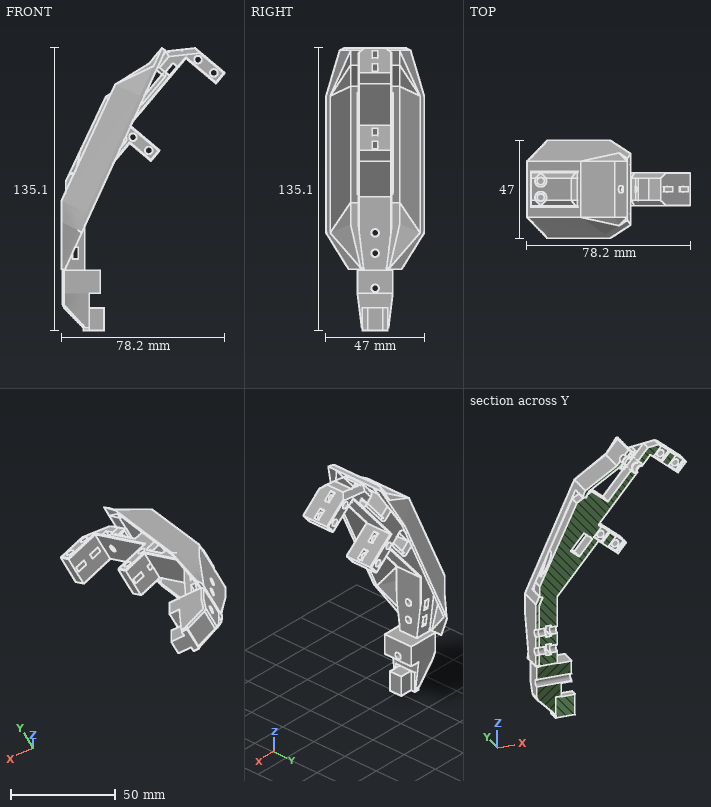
import cadquery as cq
import math


SCREW_DIAMETER = 3.5
NUT_WIDTH = 5.5
NUT_THICKNESS = 2.5
WALL = 2.0
LOW_SCREW_HEIGHTS = (46.8, 37.0)

COVER_BOTTOM = 29.3
COVER_TOP = 135.1
BASE_SLOPE = 2.18
BASE_FOOT = 25.5
RIM_FOOT = 30.4
COVER_HALF_WIDTH = 23.5
RIM_HALF_WIDTH = 21.6
RIM_TOE_HALF_WIDTH = 10.3
CREST_HALF_WIDTH = 13.4
CREST_TOE_HALF_WIDTH = 8.5
CREST_DROP = 1.0
SIDE_INSET = 1.6
CAVITY_END_GAP = 0.1

WINDOW_HALF_WIDTH = 8.5
WINDOW_BOTTOM = 66.1
WINDOW_TOP = 114.5

BAR_ANGLE = 50.0
FRAME_HALF_WIDTH = 8.0
FRAME_BEVEL = 2.7
EDGE_BEVEL = 0.4
FRAME_BOTTOM = 28.9
FRAME_REAR = 11.2
ARM_THICKNESS = 6.6
UPPER_ARM_TOP = 144.6
LOWER_ARM_TOP = 96.2
ARM_END = -19.3
LOWER_BAR_REAR = -32.5
BAR_REAR = -38.1
BAR_FRONT = -47.5
LIP_REAR = -46.2
BAR_TOP = 134.5
BLOCK_CORNER_HEIGHT = 71.3
BLOCK_SHOULDER = (21.2, 111.9)
BAR_CORNER = 123.9
TOE_REAR_HEIGHT = 64.0
ARM_HOLES = (-33.2, -23.4)
ARM_HOLE_DEPTH = 3.4
BAR_SCREW = 129.5
PLATE_THICKNESS = 3.8
UPPER_NOTCH = (108.1, 124.6)
LOWER_NOTCH = (78.4, 88.9)
UPPER_NOTCH_FRONT = -60.8
LOWER_NOTCH_FRONT = -41.9
BAR_NUT_FRONT = -41.3
TOE_NUT_FRONT = 5.4
NOTCH_FLARE = 1.9
TAPER_TOP = 50.0
TOE_HALF_WIDTH = 5.4

POCKET_DIAMETER = 5.5
POCKET_X = 6.6
POCKET_HALF_SPACING = 3.9
POCKET_SEAT = 74.9
POCKET_HOLE_DEPTH = 6.8

CLIP_FRONT = 0.47
CLIP_REAR = 18.6
CLIP_TOP = FRAME_BOTTOM
CLIP_STEP = 17.8
CLIP_HALF_WIDTH = 8.5
CLIP_BEVEL = 1.0
CLIP_SCREW_HEIGHT = 20.3
KNEE_TOP = 12.5
KNEE_BOTTOM = 10.8
KNEE_HALF_WIDTH = 6.4
SLOPE_HALF_WIDTH = 5.4
WEDGE_BOTTOM = 1.5
WEDGE_TIP_HALF_WIDTH = 6.5

FOOT_FRONT = 10.4
FOOT_STEP = 13.4
FOOT_REAR = 20.4
FOOT_HEIGHT = 11.0
FOOT_PLATE_HALF_WIDTH = 6.1
FOOT_BLOCK_HALF_WIDTH = 3.6


def box(x_range, y_half, z_range):
    """Box that is symmetric about Y = 0."""
    size = (x_range[1] - x_range[0], 2 * y_half, z_range[1] - z_range[0])
    return cq.Workplane("XY").box(*size, centered=(False, True, False)).translate((x_range[0], 0, z_range[0]))


def mirrored(point):
    return (point[0], -point[1], point[2])


def across(points):
    """Outline that runs along points at +Y and back along their mirror images."""
    return points + [mirrored(point) for point in reversed(points)]


def flat_face(points):
    return cq.Face.makeFromWires(cq.Wire.makePolygon([cq.Vector(*p) for p in points], close=True))


def twisted_face(points):
    """Ruled face from the edge between the first two points to the edge between the last two."""
    start, end, far_end, far_start = [cq.Vector(*p) for p in points]
    return cq.Face.makeRuledSurface(cq.Edge.makeLine(start, end), cq.Edge.makeLine(far_start, far_end))


def both_sides(outlines):
    return outlines + [[mirrored(p) for p in outline] for outline in outlines]


def faceted_solid(side_faces, crossing_faces, twisted_sides=()):
    """Solid bounded by flat or twisted side faces, given for +Y only, and faces that cross Y = 0."""
    faces = [flat_face(outline) for outline in crossing_faces + both_sides(side_faces)]
    faces += [twisted_face(outline) for outline in both_sides(list(twisted_sides))]
    return cq.Workplane(cq.Solid.makeSolid(cq.Shell.makeShell(faces)).fix())


def bar_point(along, outward):
    """X and Z of a point given along the tilted bar and square to it."""
    angle = math.radians(BAR_ANGLE)
    x = along * math.cos(angle) + outward * math.sin(angle)
    z = along * math.sin(angle) - outward * math.cos(angle)
    return (x, z)


def slab(outline, half_width):
    """Outline in X and Z, extruded equally to both sides of Y = 0."""
    return cq.Workplane("XZ").polyline(outline).close().extrude(half_width, both=True)


def bar_rectangle(along_range, outward_range):
    """Corners of a rectangle lined up with the tilted bar."""
    low, high = along_range
    front, rear = outward_range
    return [bar_point(low, front), bar_point(high, front), bar_point(high, rear), bar_point(low, rear)]


def bar_block(along_range, outward_range, half_width):
    """Block lined up with the tilted bar."""
    return slab(bar_rectangle(along_range, outward_range), half_width)


def bar_screw_hole(outward_range):
    """Screw hole square to the tilted bar."""
    x, z = bar_point(BAR_SCREW, outward_range[0])
    angle = math.radians(BAR_ANGLE)
    axis = cq.Vector(math.sin(angle), 0, -math.cos(angle))
    length = outward_range[1] - outward_range[0]
    return cq.Workplane(cq.Solid.makeCylinder(SCREW_DIAMETER / 2, length, cq.Vector(x, 0, z), axis))


def front_screw_hole(height):
    """Screw hole along X through everything at the given height."""
    return cq.Workplane("YZ").center(0, height).circle(SCREW_DIAMETER / 2).extrude(CLIP_REAR)


CREST_PROFILE = [(0, 51.9), (0, 62.2), (25.7, 117.7), (42.0, 127.8),
                 ((COVER_TOP - RIM_FOOT) / BASE_SLOPE, COVER_TOP)]
RIM_STATIONS = [(48.0, RIM_HALF_WIDTH), (56.3, RIM_HALF_WIDTH), (64.0, RIM_HALF_WIDTH),
                (112.3, RIM_HALF_WIDTH)]
RIM_SHOULDER = 126.5
BASE_STATIONS = [(COVER_BOTTOM, 12.7), (46.8, COVER_HALF_WIDTH), (112.2, COVER_HALF_WIDTH), (133.9, 17.0)]


def on_base(z, y):
    return ((z - BASE_FOOT) / BASE_SLOPE, y, z)


def on_rim(z, y):
    return ((z - RIM_FOOT) / BASE_SLOPE, y, z)


def rim_taper(z):
    """Half width of the rim line above its last full-width station, parallel to the base outline."""
    (z0, y0), (z1, y1) = BASE_STATIONS[2:]
    top_station = RIM_STATIONS[-1][0]
    return RIM_HALF_WIDTH + (z - top_station) * (y1 - y0) / (z1 - z0)


def cover_form():
    """Outer shape of the cover: crest points c, rim points r and base outline points b."""
    toe = (0, CREST_TOE_HALF_WIDTH, COVER_BOTTOM)
    c1, c2, c3, c4, c5 = [(x, CREST_HALF_WIDTH, z) for x, z in CREST_PROFILE]
    r1, r2, r3, r4 = [on_rim(z, y) for z, y in RIM_STATIONS]
    r5 = on_rim(RIM_SHOULDER, rim_taper(RIM_SHOULDER))
    r0 = (0, RIM_TOE_HALF_WIDTH, COVER_BOTTOM)
    r6 = on_rim(COVER_TOP, rim_taper(COVER_TOP))
    b0, b1, b2, b3 = [on_base(z, y) for z, y in BASE_STATIONS]
    flanks = [
        [c2, r3, r2], [c2, r4, r3],
        [c2, c3, r4], [c3, r5, r4], [c3, c4, r5],
        [c4, c5, r5], [c5, r6, r5],
    ]
    twisted = [[toe, c1, r1, r0], [c1, c2, r2, r1], [r0, r1, b1, b0]]
    rim = [[r1, r2, r3, r4, b1], [r4, b2, b1],
           [r4, r5, r6, b3, b2]]
    crest = [across([toe, c1, c2]), across([c2, c3]), across([c3, c4]), across([c4, c5])]
    ends = [across([toe, r0, b0]), across([c5, r6, b3])]
    return faceted_solid(flanks + rim, crest + ends + [across([b0, b1, b2, b3])], twisted)


def cover_cavity():
    """Hollow that opens through the rear plane and fades out at both ends."""
    half = CREST_HALF_WIDTH - SIDE_INSET
    shifted = [(x + WALL, half, z - CREST_DROP) for x, z in CREST_PROFILE[:-1]]
    p1, p2, p3, p4 = shifted
    p0 = on_base(BASE_FOOT + BASE_SLOPE * WALL, CREST_TOE_HALF_WIDTH - SIDE_INSET)
    p5 = on_base(BASE_STATIONS[-1][0] - CAVITY_END_GAP, half)
    q1, q2 = [on_base(z, y - WALL) for z, y in BASE_STATIONS[1:3]]
    flanks = [[p0, p1, q1], [p1, p2, q1], [p2, q2, q1], [p2, p3, q2], [p3, p4, q2], [p4, p5, q2]]
    crest = [across([p0, p1, p2]), across([p2, p3]), across([p3, p4]), across([p4, p5])]
    return faceted_solid(flanks, crest + [across([p0, q1, q2, p5])])


def crest_window():
    """Opening cut square through the sloping crest face."""
    (x0, z0), (x1, z1) = CREST_PROFILE[1:3]
    slope = math.atan2(z1 - z0, x1 - x0)
    reach = 3 * WALL
    inward = (reach * math.sin(slope), -reach * math.cos(slope))
    edge = [(x0 + (z - z0) / math.tan(slope), z) for z in (WINDOW_BOTTOM, WINDOW_TOP)]
    inner = [(x + inward[0], z + inward[1]) for x, z in edge]
    outer = [(x - inward[0], z - inward[1]) for x, z in edge]
    return slab(outer + inner[::-1], WINDOW_HALF_WIDTH)


def make_cover():
    cover = cover_form()
    cover = cover.cut(cover_cavity())
    cover = cover.cut(crest_window())
    for height in LOW_SCREW_HEIGHTS:
        cover = cover.cut(front_screw_hole(height))
    return cover.cut(bar_screw_hole((BAR_FRONT - 2 * WALL, BAR_FRONT + WALL)))


ARM_SHOULDER = ((UPPER_ARM_TOP * math.sin(math.radians(BAR_ANGLE)) - COVER_TOP)
                / math.cos(math.radians(BAR_ANGLE)))
FRAME_FRONT = [
    (WALL, FRAME_BOTTOM),
    (WALL, BLOCK_CORNER_HEIGHT),
    BLOCK_SHOULDER,
    bar_point(BAR_CORNER, BAR_FRONT),
    bar_point(BAR_TOP, BAR_FRONT),
    bar_point(UPPER_ARM_TOP, ARM_SHOULDER),
]
FRAME_BACK = [
    FRAME_FRONT[-1],
    bar_point(UPPER_ARM_TOP, ARM_END),
    bar_point(UPPER_ARM_TOP - ARM_THICKNESS, ARM_END),
    bar_point(UPPER_ARM_TOP - ARM_THICKNESS, BAR_REAR),
    bar_point(LOWER_ARM_TOP, BAR_REAR),
    bar_point(LOWER_ARM_TOP, ARM_END),
    bar_point(LOWER_ARM_TOP - ARM_THICKNESS, ARM_END),
    bar_point(LOWER_ARM_TOP - ARM_THICKNESS, LOWER_BAR_REAR),
    (FRAME_REAR, TOE_REAR_HEIGHT),
    (FRAME_REAR, FRAME_BOTTOM),
]


def bevel_edges(frame, chain, size):
    """Bevel both long edges of every outline stretch in the chain."""
    picked = []
    for (x0, z0), (x1, z1) in zip(chain, chain[1:]):
        for y in (-FRAME_HALF_WIDTH, FRAME_HALF_WIDTH):
            middle = ((x0 + x1) / 2, y, (z0 + z1) / 2)
            picked += frame.edges(cq.selectors.NearestToPointSelector(middle)).vals()
    return frame.newObject(picked).chamfer(size)


def side_notch(along_range, outward_range):
    """Notch through the bar, flared where it meets the two sides."""
    notch = bar_block(along_range, outward_range, FRAME_HALF_WIDTH)
    outline = bar_rectangle(along_range, outward_range)
    flare = (cq.Workplane("XZ", origin=(0, NOTCH_FLARE - FRAME_HALF_WIDTH, 0))
             .polyline(outline).close().extrude(NOTCH_FLARE, taper=-45))
    return notch.union(flare).union(flare.mirror("XZ"))


def toe_taper():
    """Two wedges that narrow the frame toward its bottom."""
    outline = [(TOE_HALF_WIDTH, FRAME_BOTTOM), (FRAME_HALF_WIDTH, TAPER_TOP),
               (FRAME_HALF_WIDTH, FRAME_BOTTOM)]
    wedge = cq.Workplane("YZ").polyline(outline).close().extrude(FRAME_REAR)
    return wedge.union(wedge.mirror("XZ"))


def screw_pocket(side):
    """Upright teardrop pocket, its point facing outward, with a blind hole in its seat."""
    radius = POCKET_DIAMETER / 2
    flank = radius / math.sqrt(2)
    height = WINDOW_TOP - POCKET_SEAT
    seat = cq.Workplane("XY", origin=(POCKET_X, side * POCKET_HALF_SPACING, POCKET_SEAT))
    bore = seat.circle(radius).extrude(height)
    tip = [(-flank, side * flank), (0, side * 2 * flank), (flank, side * flank)]
    point = seat.polyline(tip).close().extrude(height)
    hole = seat.circle(SCREW_DIAMETER / 2).extrude(-POCKET_HOLE_DEPTH)
    return bore.union(point).union(hole)


def arm_screws(arm_top):
    """Screw holes along Y through an arm, each with a nut slot from the arm's top."""
    along = arm_top - ARM_HOLE_DEPTH
    holes = cq.Workplane("XZ").pushPoints([bar_point(along, b) for b in ARM_HOLES])
    holes = holes.circle(SCREW_DIAMETER / 2).extrude(FRAME_HALF_WIDTH, both=True)
    for b in ARM_HOLES:
        nut_range = (b - NUT_WIDTH / 2, b + NUT_WIDTH / 2)
        slot = bar_block((along - NUT_WIDTH / 2, arm_top), nut_range, NUT_THICKNESS / 2)
        holes = holes.union(slot)
    return holes


def make_frame():
    frame = slab(FRAME_FRONT + FRAME_BACK[1:], FRAME_HALF_WIDTH)
    frame = bevel_edges(frame, FRAME_FRONT[1:], FRAME_BEVEL)
    frame = bevel_edges(frame, FRAME_BACK, EDGE_BEVEL)
    frame = frame.cut(toe_taper())
    plate_front = BAR_REAR - PLATE_THICKNESS
    lower_plate_front = LOWER_BAR_REAR - PLATE_THICKNESS
    frame = frame.cut(side_notch(UPPER_NOTCH, (UPPER_NOTCH_FRONT, plate_front)))
    frame = frame.cut(side_notch(LOWER_NOTCH, (LOWER_NOTCH_FRONT, lower_plate_front)))

    frame = frame.cut(bar_block((UPPER_NOTCH[1], UPPER_ARM_TOP), (LIP_REAR, plate_front),
                                FRAME_HALF_WIDTH - FRAME_BEVEL))

    frame = frame.cut(bar_screw_hole((BAR_FRONT, BAR_REAR)))
    frame = frame.cut(bar_block((BAR_SCREW - NUT_WIDTH / 2, BAR_SCREW + NUT_WIDTH / 2),
                                (BAR_NUT_FRONT, BAR_NUT_FRONT + NUT_THICKNESS), FRAME_HALF_WIDTH))

    for height in LOW_SCREW_HEIGHTS:
        frame = frame.cut(front_screw_hole(height))
        frame = frame.cut(box((TOE_NUT_FRONT, TOE_NUT_FRONT + NUT_THICKNESS), FRAME_HALF_WIDTH,
                              (height - NUT_WIDTH / 2, height + NUT_WIDTH / 2)))

    for side in (-1, 1):
        frame = frame.cut(screw_pocket(side))
    for arm_top in (UPPER_ARM_TOP, LOWER_ARM_TOP):
        frame = frame.cut(arm_screws(arm_top))
    return frame


def clip_side(x, z):
    """Point on the leaning side face of the wedge."""
    lean = (CLIP_HALF_WIDTH - WEDGE_TIP_HALF_WIDTH) / (CLIP_STEP - WEDGE_BOTTOM)
    return (x, CLIP_HALF_WIDTH - lean * (CLIP_STEP - z), z)


def clip_wedge():
    """Lower part of the clip: a front face, a slope below it, and bevels around both."""
    front_half = CLIP_HALF_WIDTH - CLIP_BEVEL
    top_front = (CLIP_FRONT, front_half, CLIP_STEP)
    top_side = clip_side(CLIP_FRONT + CLIP_BEVEL, CLIP_STEP)
    top_middle = clip_side(FOOT_FRONT, CLIP_STEP)
    top_rear = clip_side(FOOT_STEP, CLIP_STEP)
    knee_front = (CLIP_FRONT, SLOPE_HALF_WIDTH, KNEE_TOP)
    knee_side = (CLIP_FRONT + CLIP_BEVEL, KNEE_HALF_WIDTH, KNEE_TOP - CLIP_BEVEL / 2)
    knee_low = (CLIP_FRONT + KNEE_TOP - KNEE_BOTTOM - CLIP_BEVEL, SLOPE_HALF_WIDTH, KNEE_BOTTOM)
    tip_front = (FOOT_FRONT, SLOPE_HALF_WIDTH, WEDGE_BOTTOM)
    tip_side = clip_side(FOOT_FRONT, WEDGE_BOTTOM + CLIP_BEVEL)
    tip_toe = clip_side(FOOT_FRONT + CLIP_BEVEL, WEDGE_BOTTOM)
    tip_rear = clip_side(FOOT_STEP, WEDGE_BOTTOM)
    flat_sides = [
        [knee_front, knee_side, knee_low],
        [tip_front, tip_side, tip_toe],
        [top_middle, top_rear, tip_rear, tip_toe, tip_side],
    ]
    twisted_sides = [
        [top_front, top_side, knee_side, knee_front],
        [knee_low, knee_side, tip_side, tip_front],
        [top_side, top_middle, tip_side, knee_side],
    ]
    crossing = [
        across([top_front, top_side, top_middle, top_rear]),
        across([top_rear, tip_rear]),
        across([tip_rear, tip_toe, tip_front]),
        across([tip_front, knee_low]),
        across([knee_low, knee_front]),
        across([knee_front, top_front]),
    ]
    return faceted_solid(flat_sides, crossing, twisted_sides)


def make_clip():
    head = box((CLIP_FRONT, CLIP_REAR), CLIP_HALF_WIDTH, (CLIP_STEP, CLIP_TOP))
    head = head.edges("|Z and <X").chamfer(CLIP_BEVEL)
    clip = head.union(clip_wedge())
    clip = clip.cut(front_screw_hole(CLIP_SCREW_HEIGHT))
    return clip.cut(make_foot())


def make_foot():
    plate = box((FOOT_FRONT, FOOT_STEP), FOOT_PLATE_HALF_WIDTH, (0, FOOT_HEIGHT))
    block = box((FOOT_STEP, FOOT_REAR), FOOT_BLOCK_HALF_WIDTH, (0, FOOT_HEIGHT))
    return plate.union(block)


cover = make_cover()
frame = make_frame().cut(cover)
clip = make_clip()
foot = make_foot()
result = cq.Compound.makeCompound([body.solids().val() for body in (cover, frame, clip, foot)])